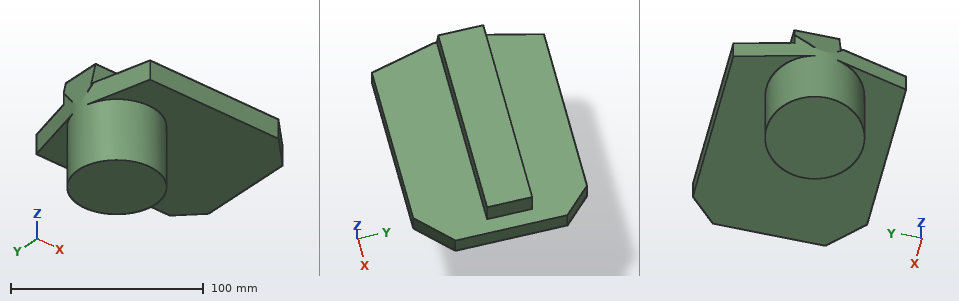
import cadquery as cq
import math

post_diameter = 51.6
post_height = 37.6
plate_thickness = 12.0
total_length = 115.5
total_width = 92.0
total_height = 63.5
plate_back = 47.0
back_corner_x = 10.7
front_corner_x = 10.4
back_chamfer = 14.1
front_chamfer = 18.0
rib_front = -8.1
rib_back = 16.0
rib_end_gap = 8.0
bevel_start_height = 42.0
bevel_run = 4.6

post_radius = post_diameter / 2
left = -post_radius
right = left + total_length
plate_front = plate_back - total_width
plate_top = post_height + plate_thickness


def tangent_point(x, y):
    """Left-hand point where a line from (x, y) touches the post circle."""
    side = math.copysign(1, y)
    spread = math.acos(post_radius / math.hypot(x, y))
    angle = math.atan2(y, x) + side * spread
    return post_radius * math.cos(angle), post_radius * math.sin(angle)


back_corner = (left + back_corner_x, plate_back)
front_corner = (left + front_corner_x, plate_front)
back_tangent = tangent_point(*back_corner)
front_tangent = tangent_point(*front_corner)


def outline_prism(bottom, top):
    """Plate outline: sides tangent to the post on the left, chamfered on the right."""
    return (
        cq.Workplane("XY", origin=(0, 0, bottom))
        .moveTo(*back_corner)
        .lineTo(right - back_chamfer, plate_back)
        .lineTo(right, plate_back - back_chamfer)
        .lineTo(right, plate_front + front_chamfer)
        .lineTo(right - front_chamfer, plate_front)
        .lineTo(*front_corner)
        .lineTo(*front_tangent)
        .threePointArc((left, 0), back_tangent)
        .close()
        .extrude(top - bottom)
    )


post = (
    cq.Workplane("XY")
    .moveTo(*front_tangent)
    .threePointArc((left, 0), back_tangent)
    .threePointArc((post_radius, 0), front_tangent)
    .close()
    .extrude(post_height)
)

plate = outline_prism(post_height, plate_top)

bar = cq.Workplane("XY", origin=(left, rib_front, post_height)).box(
    total_length - rib_end_gap,
    rib_back - rib_front,
    total_height - post_height,
    centered=False,
)
rib = bar.intersect(outline_prism(post_height, total_height))

slope_rise = total_height - bevel_start_height
bevel = (
    cq.Workplane("XZ", origin=(0, total_width, 0))
    .moveTo(left - bevel_run, bevel_start_height - slope_rise)
    .lineTo(left - bevel_run, total_height + slope_rise)
    .lineTo(left + 2 * bevel_run, total_height + slope_rise)
    .close()
    .extrude(2 * total_width)
)

upper_body = plate.union(rib).cut(bevel)
result = post.union(upper_body)